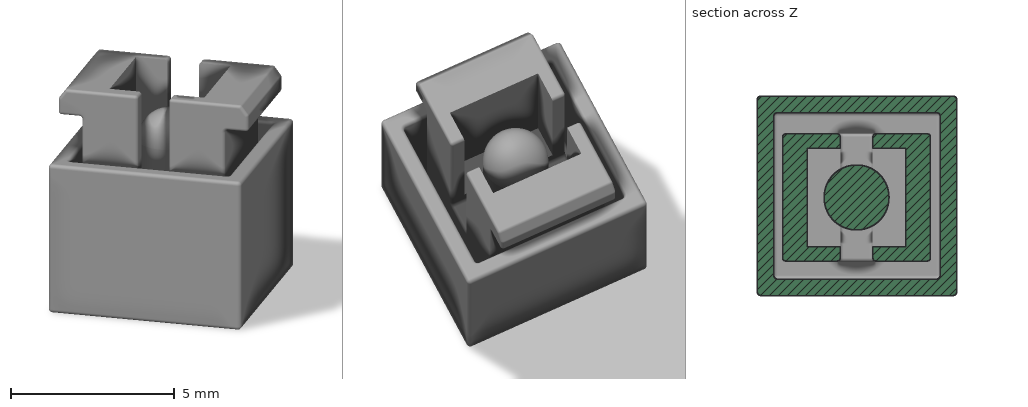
import cadquery as cq

housing_width = 6.1
housing_height = 4.795
wall = 0.52
housing_round = 0.12
cavity_round = 0.1
floor_height = wall

total_height = 6.89
block_x = -0.015
block_y = -0.05
block_round = 0.095
block_depth = 3.89
stem_width = 4.52
head_width = 6.01
head_height = 0.83
head_chamfer_x = 0.235
head_chamfer_z = 0.3
slot_width = 0.985
slot_floor = 2.48

pocket_width = 3.0
pocket_floor = 2.865
pin_diameter = 2.0
dome_base = 4.885


def make_housing():
    """Rounded cube hollowed from the top, with a softened rim and cavity floor."""
    body = cq.Workplane("XY").box(
        housing_width, housing_width, housing_height, centered=(True, True, False)
    )
    body = body.edges().fillet(housing_round)

    cavity_width = housing_width - 2 * wall
    cavity = (
        cq.Workplane("XY", origin=(0, 0, floor_height))
        .rect(cavity_width, cavity_width)
        .extrude(housing_height - floor_height)
        .edges("|Z or <Z")
        .fillet(cavity_round)
    )
    body = body.cut(cavity)

    rim_reach = (cavity_width + wall) / 2
    rim_zone = cq.selectors.BoxSelector(
        (-rim_reach, -rim_reach, housing_height - cavity_round),
        (rim_reach, rim_reach, housing_height + cavity_round),
    )
    return body.edges(rim_zone).fillet(cavity_round)


def make_clamp_block():
    """T-shaped profile in XZ with a central slot, extruded along Y and rounded except at its foot."""
    half_stem = stem_width / 2
    half_head = head_width / 2
    half_slot = slot_width / 2
    head_bottom = total_height - head_height
    right_side = [
        (half_slot, slot_floor),
        (half_slot, total_height),
        (half_head - head_chamfer_x, total_height),
        (half_head, total_height - head_chamfer_z),
        (half_head, head_bottom),
        (half_stem, head_bottom),
        (half_stem, floor_height),
    ]
    left_side = [(-x, z) for x, z in reversed(right_side)]
    block = (
        cq.Workplane("XZ")
        .polyline(right_side + left_side)
        .close()
        .extrude(block_depth / 2, both=True)
    )
    return block.edges("not <Z").fillet(block_round)


def make_pocket():
    """Square cutter that hollows the facing sides of the arms and is open at the top."""
    return (
        cq.Workplane("XY", origin=(0, 0, pocket_floor))
        .rect(pocket_width, pocket_width)
        .extrude(total_height - pocket_floor)
    )


def make_pin():
    """Round pin rooted in the housing floor and topped by a half sphere."""
    shaft = (
        cq.Workplane("XY", origin=(0, 0, floor_height))
        .circle(pin_diameter / 2)
        .extrude(dome_base - floor_height)
    )
    dome = cq.Workplane("XY", origin=(0, 0, dome_base)).sphere(pin_diameter / 2)
    return shaft.union(dome)


clamp = make_clamp_block().cut(make_pocket()).union(make_pin())
result = make_housing().union(clamp.translate((block_x, block_y, 0)))